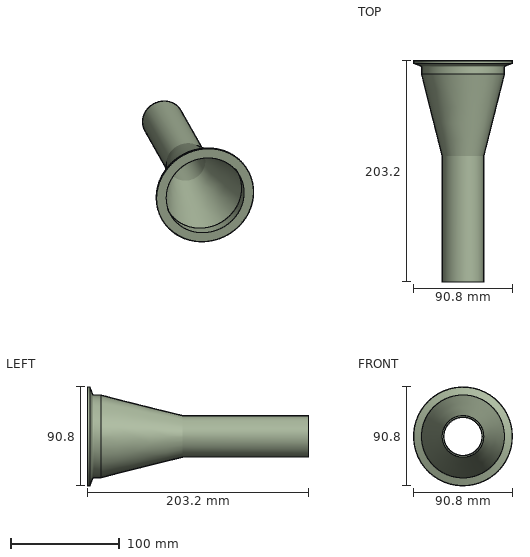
import cadquery as cq
import math

overall_length = 203.2
flange_diameter = 90.8
neck_diameter = 76.2
tube_diameter = 38.2
wall = 1.6
ferrule_length = 12.4
rim_width = 2.5
flange_slope = 20.0
neck_fillet = 1.32
tube_length = 115.5

flange_radius = flange_diameter / 2
neck_radius = neck_diameter / 2
tube_radius = tube_diameter / 2
flange_face_y = overall_length / 2
ferrule_end_y = flange_face_y - ferrule_length
tube_end_y = -overall_length / 2
tube_start_y = tube_end_y + tube_length


def revolve_about_y(profile):
    """Turn a closed profile, drawn as (radius, y), a full circle about Y."""
    return profile.close().revolve(360, (0, 0, 0), (0, 1, 0))


def make_ferrule():
    """Clamp flange with a sloped back, filleted into a short straight neck."""
    slope = math.radians(flange_slope)
    rim_back_y = flange_face_y - rim_width
    fillet_center_radius = neck_radius + neck_fillet
    fillet_start_radius = fillet_center_radius - neck_fillet * math.sin(slope)
    fillet_start_y = rim_back_y - (flange_radius - fillet_start_radius) * math.tan(slope)
    fillet_center_y = fillet_start_y - neck_fillet * math.cos(slope)
    middle_angle = (math.pi / 2 - slope) / 2
    fillet_middle = (
        fillet_center_radius - neck_fillet * math.cos(middle_angle),
        fillet_center_y + neck_fillet * math.sin(middle_angle),
    )
    bore_radius = neck_radius - wall
    profile = (
        cq.Workplane("XY")
        .moveTo(bore_radius, flange_face_y)
        .lineTo(flange_radius, flange_face_y)
        .lineTo(flange_radius, rim_back_y)
        .lineTo(fillet_start_radius, fillet_start_y)
        .threePointArc(fillet_middle, (neck_radius, fillet_center_y))
        .lineTo(neck_radius, ferrule_end_y)
        .lineTo(bore_radius, ferrule_end_y)
    )
    return revolve_about_y(profile)


def make_funnel():
    """Thin-walled cone that runs into a straight tube."""
    profile = (
        cq.Workplane("XY")
        .moveTo(neck_radius, ferrule_end_y)
        .lineTo(tube_radius, tube_start_y)
        .lineTo(tube_radius, tube_end_y)
        .lineTo(tube_radius - wall, tube_end_y)
        .lineTo(tube_radius - wall, tube_start_y)
        .lineTo(neck_radius - wall, ferrule_end_y)
    )
    return revolve_about_y(profile)


ferrule = make_ferrule()
funnel = make_funnel()

result = cq.Compound.makeCompound([ferrule.val(), funnel.val()])